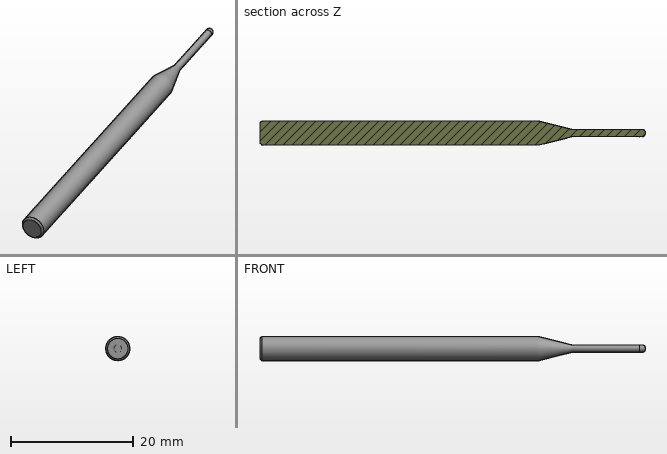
import cadquery as cq

total_length = 63.0
shank_radius = 4.0 / 2
shank_length = 45.55
shank_chamfer = 0.3

neck_start = 50.95
neck_radius = 0.62

head_start = 62.0
head_radius = 0.6
ball_start = total_length - head_radius
ball_arc_offset = head_radius * 0.5**0.5

profile = (
    cq.Workplane("XY")
    .moveTo(0, 0)
    .lineTo(0, shank_radius - shank_chamfer)
    .lineTo(shank_chamfer, shank_radius)
    .lineTo(shank_length, shank_radius)
    .lineTo(neck_start, neck_radius)
    .lineTo(head_start, neck_radius)
    .lineTo(head_start, head_radius)
    .lineTo(ball_start, head_radius)
    .threePointArc((ball_start + ball_arc_offset, ball_arc_offset), (total_length, 0))
    .close()
)

tool = profile.revolve(360, (0, 0, 0), (1, 0, 0))
result = tool.translate((-total_length / 2, 0, 0))